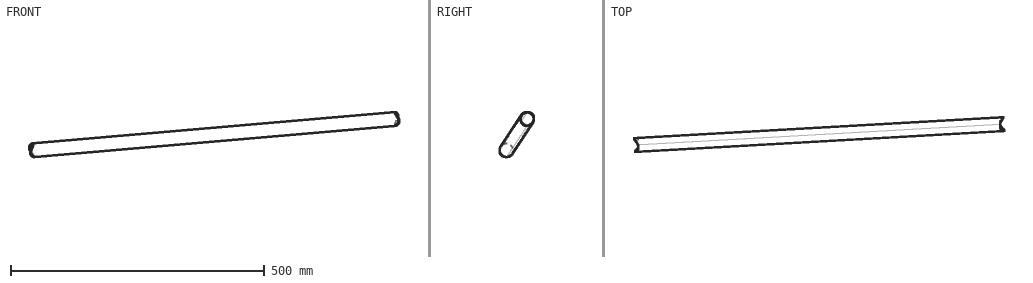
import cadquery as cq
import math

tube_diameter = 28.0
wall = 1.5

post_diameter = 31.0
post_roll = 20.5
lower_post_tilt = -1.0
upper_post_tilt = 6.0

span_x = 743.2
span_y = 42.1
span_z = 64.1

axis_length = math.hypot(span_x, span_y, span_z)
heading = math.degrees(math.atan2(span_y, span_x))
climb = math.degrees(math.atan2(span_z, math.hypot(span_x, span_y)))
tube_radius = tube_diameter / 2
bore_radius = tube_radius - wall
post_radius = post_diameter / 2

end_allowance = 2 * post_radius
blank_length = axis_length + 2 * end_allowance
cutter_half_height = 5 * tube_radius
outboard_length = 2 * end_allowance
outboard_half_width = 2 * tube_radius


def add_round(section, radius):
    """Add a circle made of two half-round arcs that meet at the top and the bottom."""
    return (
        section.moveTo(0, -radius)
        .threePointArc((radius, 0), (0, radius))
        .threePointArc((-radius, 0), (0, -radius))
        .close()
    )


def blank_tube():
    """Square-ended tube along X, centred on the origin, with two half-round faces inside and out."""
    section = cq.Workplane("YZ", origin=(-blank_length / 2, 0, 0))
    section = add_round(section, tube_radius)
    section = add_round(section, bore_radius)
    return section.extrude(blank_length, clean=False)


def cope_cutter(end, tilt):
    """Post at the -X (end=-1) or +X (end=1) end, with everything outboard of its axis."""
    post = cq.Workplane("XY").circle(post_radius).extrude(cutter_half_height, both=True)
    outboard = (
        cq.Workplane("XY")
        .center(end * outboard_length / 2, 0)
        .rect(outboard_length, 2 * outboard_half_width)
        .extrude(cutter_half_height, both=True)
    )
    return (
        post.union(outboard)
        .rotate((0, 0, 0), (0, 1, 0), tilt)
        .translate((end * axis_length / 2, 0, 0))
        .rotate((0, 0, 0), (1, 0, 0), post_roll)
    )


tube = blank_tube()
for end, tilt in ((-1, lower_post_tilt), (1, upper_post_tilt)):
    tube = tube.cut(cope_cutter(end, tilt), clean=False)

tube = tube.rotate((0, 0, 0), (0, 1, 0), -climb)
result = tube.rotate((0, 0, 0), (0, 0, 1), heading)